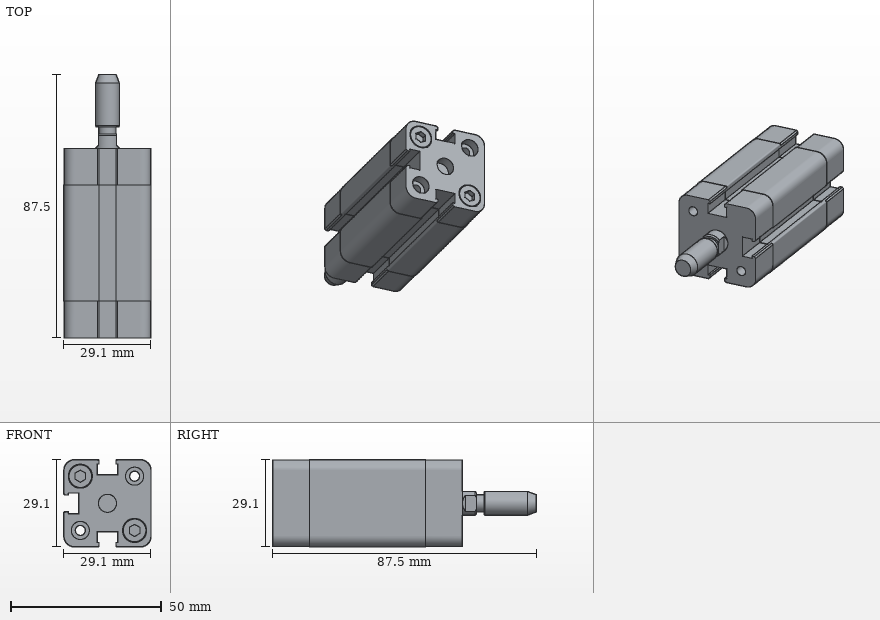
import cadquery as cq
import math


TOTAL_LENGTH = 87.5
BODY_LENGTH = 63.0
CAP_LENGTH = 12.25
BARREL_LENGTH = BODY_LENGTH - 2 * CAP_LENGTH

BARREL_WIDTH = 29.05
CAP_WIDTH = 28.8
CORNER_CENTER = 10.9

SLOT_THROAT = 5.5
SLOT_LIP_INNER = 13.0
SLOT_LIP_SIZE = 0.5
BARREL_SLOT_WIDTH = 6.7
BARREL_SLOT_FLOOR = 9.55
CAP_SLOT_WIDTH = 7.0
CAP_SLOT_FLOOR = 9.4
SLOT_ANGLES = (0, -90, -180)

BOLT_OFFSET = 9.0
MOUNT_BORE_DIAMETER = 6.0
MOUNT_BORE_DEPTH = 3.5
MOUNT_HOLE_DIAMETER = 3.24
CENTER_BORE_DIAMETER = 6.0
CENTER_BORE_DEPTH = 4.0
SCREW_RECESS_DIAMETER = 8.0
SCREW_HEAD_DIAMETER = 7.5
SCREW_HEAD_HEIGHT = 4.0
SOCKET_FLATS = 3.5
SOCKET_DEPTH = 2.0

ROD_DIAMETER = 8.0
ROD_LENGTH = 4.7
ROD_CHAMFER = 0.5
FLATS_WIDTH = 6.0
FLATS_RUNOUT = 1.0
NECK_DIAMETER = 5.8
NECK_LENGTH = 2.4
STUD_CHAMFER_LENGTH = 0.4
STUD_CHAMFER_DIAMETER = 7.5
TIP_LENGTH = 2.9
TIP_DIAMETER = 5.8
ROD_END = BODY_LENGTH + ROD_LENGTH
STUD_START = ROD_END + NECK_LENGTH


def end_plane(y):
    """XZ plane at the given Y, with its local x along -X, whose extrusions run towards +Y."""
    return cq.Workplane(cq.Plane((0, y, 0), xDir=(-1, 0, 0), normal=(0, 1, 0)))


def cylinder(diameter, y, length, x=0, z=0):
    """Cylinder along +Y, centred on the given X and Z."""
    return end_plane(y).center(-x, z).circle(diameter / 2).extrude(length)


def slot_cutter(width, slot_width, floor, rounded_lip, y, length):
    """T-slot opening upwards, with rounded or chamfered entry edges."""
    top = width / 2
    throat = SLOT_THROAT / 2
    half = slot_width / 2
    entry = throat + SLOT_LIP_SIZE
    below = top - SLOT_LIP_SIZE
    outline = (
        end_plane(y)
        .moveTo(-throat, below)
        .lineTo(-throat, SLOT_LIP_INNER)
        .lineTo(-half, SLOT_LIP_INNER)
        .lineTo(-half, floor)
        .lineTo(half, floor)
        .lineTo(half, SLOT_LIP_INNER)
        .lineTo(throat, SLOT_LIP_INNER)
        .lineTo(throat, below)
    )
    if rounded_lip:
        outline = outline.radiusArc((entry, top), SLOT_LIP_SIZE)
        outline = outline.lineTo(-entry, top)
        outline = outline.radiusArc((-throat, below), SLOT_LIP_SIZE)
    else:
        outline = outline.lineTo(entry, top).lineTo(-entry, top)
    return outline.close().extrude(length)


def body_section(width, slot_width, floor, rounded_lip, y, length):
    """Rounded square bar with slots on its +Z, -X and -Z faces."""
    corner_radius = width / 2 - CORNER_CENTER
    section = end_plane(y).rect(width, width).extrude(length)
    section = section.edges("|Y").fillet(corner_radius)
    cutter = slot_cutter(width, slot_width, floor, rounded_lip, y, length)
    for angle in SLOT_ANGLES:
        section = section.cut(cutter.rotate((0, 0, 0), (0, 1, 0), angle))
    return section


def end_cap(y):
    return body_section(CAP_WIDTH, CAP_SLOT_WIDTH, CAP_SLOT_FLOOR, False, y, CAP_LENGTH)


def barrel(y):
    return body_section(BARREL_WIDTH, BARREL_SLOT_WIDTH, BARREL_SLOT_FLOOR, True, y, BARREL_LENGTH)


def body():
    far_cap = end_cap(CAP_LENGTH + BARREL_LENGTH)
    return barrel(CAP_LENGTH).union(end_cap(0)).union(far_cap)


def mounting_hole(x, z):
    """Through hole with a wider bore from the closed end."""
    bore = cylinder(MOUNT_BORE_DIAMETER, 0, MOUNT_BORE_DEPTH, x, z)
    return bore.union(cylinder(MOUNT_HOLE_DIAMETER, 0, BODY_LENGTH, x, z))


def screw_cut(x, z):
    """Ring gap around a flush screw head, plus its hexagon socket."""
    gap = cylinder(SCREW_RECESS_DIAMETER, 0, SCREW_HEAD_HEIGHT, x, z)
    gap = gap.cut(cylinder(SCREW_HEAD_DIAMETER, 0, SCREW_HEAD_HEIGHT, x, z))
    corner_turn = 30
    across_corners = SOCKET_FLATS / math.cos(math.radians(corner_turn))
    socket = end_plane(0).polygon(6, across_corners).extrude(SOCKET_DEPTH)
    socket = socket.rotate((0, 0, 0), (0, 1, 0), corner_turn).translate((x, 0, z))
    return gap.union(socket)


def rod():
    """Turned rod with a neck, a chamfered stud and a tapered tip."""
    radius = ROD_DIAMETER / 2
    half_profile = [
        (0, BODY_LENGTH),
        (radius, BODY_LENGTH),
        (radius, ROD_END - ROD_CHAMFER),
        (radius - ROD_CHAMFER, ROD_END),
        (NECK_DIAMETER / 2, ROD_END),
        (NECK_DIAMETER / 2, STUD_START),
        (STUD_CHAMFER_DIAMETER / 2, STUD_START),
        (radius, STUD_START + STUD_CHAMFER_LENGTH),
        (radius, TOTAL_LENGTH - TIP_LENGTH),
        (TIP_DIAMETER / 2, TOTAL_LENGTH),
        (0, TOTAL_LENGTH),
    ]
    turned = cq.Workplane("XY").polyline(half_profile).close().revolve(360, (0, 0, 0), (0, 1, 0))
    flat = wrench_flat()
    return turned.cut(flat).cut(flat.mirror("YZ"))


def wrench_flat():
    """Cutter for the flat on the +X side, sloping out at 45 degrees by the body."""
    flat_x = FLATS_WIDTH / 2
    outline = [
        (flat_x, BODY_LENGTH + FLATS_RUNOUT),
        (flat_x + FLATS_RUNOUT, BODY_LENGTH),
        (flat_x + FLATS_RUNOUT, ROD_END),
        (flat_x, ROD_END),
    ]
    return cq.Workplane("XY").polyline(outline).close().extrude(ROD_DIAMETER / 2, both=True)


result = body().union(rod())
result = result.cut(cylinder(CENTER_BORE_DIAMETER, 0, CENTER_BORE_DEPTH))
for side in (-1, 1):
    result = result.cut(mounting_hole(side * BOLT_OFFSET, side * BOLT_OFFSET))
    result = result.cut(screw_cut(side * BOLT_OFFSET, -side * BOLT_OFFSET))